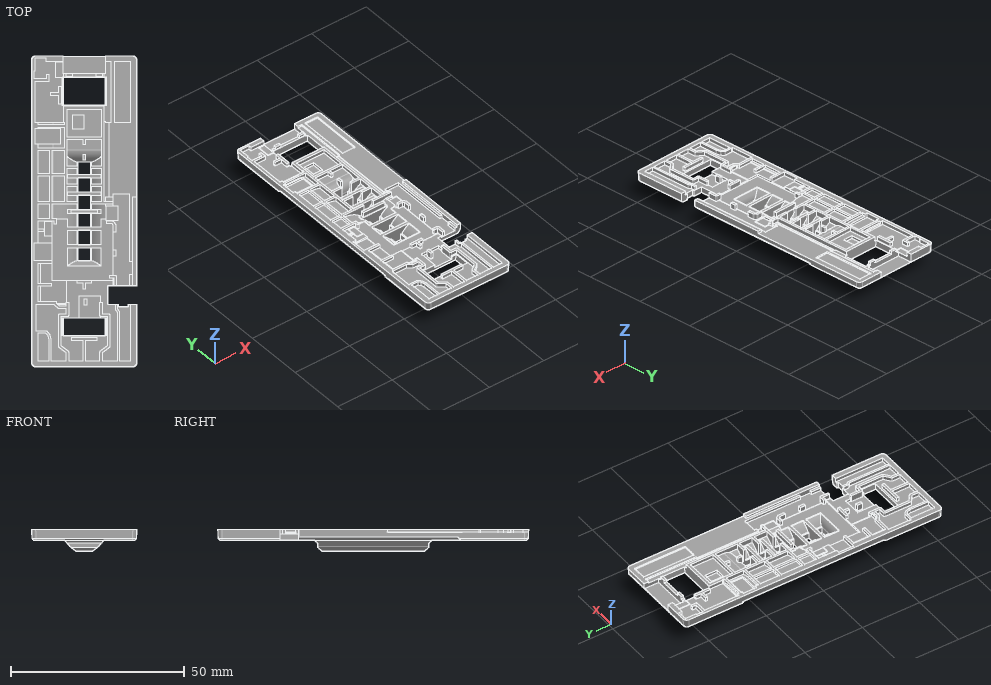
import cadquery as cq
import math

LENGTH = 89.92
WIDTH = 30.48
HEIGHT = 6.35
PLATE = HEIGHT / 2
DRAFT_ANGLE = 2.5
CORNER_RADIUS = 1.2
EDGE_CHAMFER = 0.5
CLEARANCE = 1.0

GRIP_HALF_LENGTH = 25.4
GRIP_RISE = 1.1

RIM = 0.0
PLATEAU = -0.76
BRIDGE = -0.93
LOW_STEP = 0.2
SIDE_FLOOR = -1.0
CARD_RECESS = -1.2
FLOOR = -1.27
CARD_FLOOR = -1.45
PLATFORM = -1.65
RECESS_FLOOR = -1.75
PAD_FLOOR = -2.0
CHANNEL_FLOOR = -2.7
DEEP_FLOOR = -2.2

RIB = 0.76
THIN_RIB = 0.6
RIB_ROOT = -2.45
RIM_X = 13.4
RIM_Y = 43.3
RIM_GRIP = 0.2
RIB_END_X = RIM_X + RIM_GRIP
RIB_END_Y = RIM_Y + RIM_GRIP
BOX_IN = 5.0
BOX_OUT = BOX_IN + RIB

SLOT_HALF = 1.75
SLOT_HALF_LENGTH = 14.25
TROUGH_HALF = 4.8
TROUGH_HALF_LENGTH = 15.8
TROUGH_SIDE_RADIUS = 8.6
TROUGH_END_RADIUS = 3.6
SHOULDER_HALF = 9.1
PLATFORM_Y = -2.2
SHOULDER_HALF_LENGTH = 17.8
HULL_BOTTOM_HALF = 2.4
HULL_MIDDLE_HALF = 4.1
HULL_TOP_HALF = 5.7
HULL_MIDDLE = -5.0
HULL_BOTTOM_HALF_LENGTH = 14.8
HULL_SIDE_HALF_LENGTH = 16.1
HULL_TOP_HALF_LENGTH = 17.0
HULL_END_TOP = -4.0
HULL_END_BOTTOM = -5.2


def block(x0, x1, y0, y1, bottom, top):
    """A box between two corners in plan and two levels."""
    return cq.Workplane("XY").box(x1 - x0, y1 - y0, top - bottom, centered=False).translate((x0, y0, bottom))


def pocket(x0, x1, y0, y1, floor):
    """A cutter that opens upwards from its floor."""
    return block(x0, x1, y0, y1, floor, CLEARANCE)


def rib(x0, x1, y0, y1, top=RIM):
    """A straight rib standing on the plate."""
    return block(x0, x1, y0, y1, RIB_ROOT, top)


def opening(x0, x1, y0, y1, flare_x=0.0, flare_y=0.0):
    """A cutter right through the part; flares widen it towards the rim top."""
    cutter = block(x0, x1, y0, y1, -HEIGHT - CLEARANCE, CLEARANCE)
    if flare_x or flare_y:
        width = x1 - x0
        length = y1 - y0
        tapered = (
            cq.Workplane("XY", origin=((x0 + x1) / 2, (y0 + y1) / 2, -PLATE))
            .rect(width, length)
            .workplane(offset=PLATE)
            .rect(width + 2 * flare_x, length + 2 * flare_y)
            .loft(ruled=True)
        )
        cutter = cutter.union(tapered)
    return cutter


def wall(points, thickness=RIB):
    """A rib of even thickness along a chain of points, rounded at the bends."""
    height = RIM - RIB_ROOT
    chain = None
    for (xa, ya), (xb, yb) in zip(points, points[1:]):
        run = math.hypot(xb - xa, yb - ya)
        angle = math.degrees(math.atan2(yb - ya, xb - xa))
        piece = (
            cq.Workplane("XY")
            .box(run, thickness, height, centered=(False, True, False))
            .rotate((0, 0, 0), (0, 0, 1), angle)
            .translate((xa, ya, RIB_ROOT))
        )
        chain = piece if chain is None else chain.union(piece)
    for x, y in points[1:-1]:
        bend = cq.Workplane("XY").circle(thickness / 2).extrude(height).translate((x, y, RIB_ROOT))
        chain = chain.union(bend)
    return chain


def mirrored(points):
    """The same chain of points with the first coordinate's sign turned round."""
    return [(-x, y) for x, y in points]


def cut_all(body, cutters):
    for cutter in cutters:
        body = body.cut(cutter)
    return body


def add_all(body, pieces):
    for piece in pieces:
        body = body.union(piece)
    return body


def make_plate():
    """The drafted plate with rounded corners, a chamfered bottom edge and the two grip reliefs."""
    plate = (
        cq.Workplane("XY")
        .rect(WIDTH, LENGTH)
        .extrude(-PLATE, taper=DRAFT_ANGLE)
        .edges("not(#Z or |X or |Y)")
        .fillet(CORNER_RADIUS)
        .faces("<Z")
        .chamfer(EDGE_CHAMFER)
    )
    edge = WIDTH / 2
    relief = (
        cq.Workplane("XZ")
        .polyline([(edge, -PLATE + GRIP_RISE), (edge, -PLATE), (edge - GRIP_RISE, -PLATE)])
        .close()
        .extrude(GRIP_HALF_LENGTH, both=True)
    )
    grip_outline = [(GRIP_HALF_LENGTH, -PLATE), (GRIP_HALF_LENGTH - GRIP_RISE, -PLATE + GRIP_RISE)]
    sloped_ends = (
        cq.Workplane("YZ")
        .polyline(grip_outline + mirrored(grip_outline)[::-1])
        .close()
        .extrude(WIDTH, both=True)
    )
    relief = relief.intersect(sloped_ends)
    return plate.cut(relief).cut(relief.mirror("YZ"))


def make_hull():
    """The belly under the trough: a side-to-side profile crossed with an end-to-end profile."""
    across = (
        cq.Workplane("XZ")
        .moveTo(-HULL_TOP_HALF, PLATFORM)
        .lineTo(-HULL_TOP_HALF, -PLATE)
        .lineTo(-HULL_MIDDLE_HALF, HULL_MIDDLE)
        .lineTo(-HULL_BOTTOM_HALF, -HEIGHT)
        .lineTo(HULL_BOTTOM_HALF, -HEIGHT)
        .lineTo(HULL_MIDDLE_HALF, HULL_MIDDLE)
        .lineTo(HULL_TOP_HALF, -PLATE)
        .lineTo(HULL_TOP_HALF, PLATFORM)
        .close()
        .extrude(HULL_TOP_HALF_LENGTH, both=True)
    )
    half = [
        (HULL_TOP_HALF_LENGTH, PLATFORM),
        (HULL_TOP_HALF_LENGTH, -PLATE),
        (HULL_SIDE_HALF_LENGTH, HULL_END_TOP),
        (HULL_SIDE_HALF_LENGTH, HULL_END_BOTTOM),
        (HULL_BOTTOM_HALF_LENGTH, -HEIGHT),
    ]
    outline = half + mirrored(half)[::-1]
    along = cq.Workplane("YZ").polyline(outline).close().extrude(HULL_TOP_HALF, both=True)
    return across.intersect(along)


def trough_profile(plane, shoulder, level, radius, bottom):
    """A U-shaped sketch whose sides start level at the shoulder and roll down to the bottom half-width."""

    def depth_at(distance):
        return level - radius + math.sqrt(radius**2 - (shoulder - distance) ** 2)

    middle = (shoulder + bottom) / 2
    return (
        cq.Workplane(plane)
        .moveTo(-shoulder, CLEARANCE)
        .lineTo(-shoulder, level)
        .threePointArc((-middle, depth_at(middle)), (-bottom, depth_at(bottom)))
        .lineTo(bottom, depth_at(bottom))
        .threePointArc((middle, depth_at(middle)), (shoulder, level))
        .lineTo(shoulder, CLEARANCE)
        .close()
    )


def trough_sides():
    """The trough's side-to-side shape, carried along the whole part."""
    profile = trough_profile("XZ", SHOULDER_HALF, PLATEAU, TROUGH_SIDE_RADIUS, SLOT_HALF)
    return profile.extrude(LENGTH / 2, both=True)


def make_slot():
    return opening(-SLOT_HALF, SLOT_HALF, -SLOT_HALF_LENGTH, SLOT_HALF_LENGTH)


def make_trough():
    """The cutter for the trough; it is a little narrower where it opens into the platform."""
    ends = trough_profile("YZ", SHOULDER_HALF_LENGTH, FLOOR, TROUGH_END_RADIUS, SLOT_HALF_LENGTH)
    reach = block(-BOX_IN, BOX_IN, PLATFORM_Y, SHOULDER_HALF_LENGTH, -HEIGHT, CLEARANCE).union(
        block(-TROUGH_HALF, TROUGH_HALF, -TROUGH_HALF_LENGTH, PLATFORM_Y, -HEIGHT, CLEARANCE)
    )
    return trough_sides().intersect(ends.extrude(WIDTH / 2, both=True)).intersect(reach)


def make_shoulder(x0, x1, y0, y1):
    """The part of the trough's sides inside a plan rectangle."""
    return trough_sides().intersect(block(x0, x1, y0, y1, -PLATE, CLEARANCE))



DECK_Y = 25.65
HOLE_FLARE = 0.6
HOLE_HALF = 6.0
DOCK_HALF = 6.2

deck = [
    pocket(-14.2, -HOLE_HALF, DECK_Y, RIM_Y, FLOOR),
    pocket(-14.2, -11.0, RIM_Y, 44.3, FLOOR),
    pocket(-14.5, -11.0, 38.4, 40.5, FLOOR),
    pocket(-8.3, -HOLE_HALF, 38.7, 43.1, CARD_FLOOR),
]
deck_ribs = [
    rib(-14.6, -10.15, 37.6, 38.4),
    rib(-10.9, -10.15, 37.6, 39.6),
    rib(-7.45, -6.6, 31.0, 36.1),
    rib(-9.8, -7.4, 33.55, 34.3),
]

dock = [
    pocket(-DOCK_HALF, DOCK_HALF, 39.8, LENGTH, CHANNEL_FLOOR),
    pocket(-DOCK_HALF, DOCK_HALF, 38.0, 39.8, BRIDGE),
]
dock_stops = [
    block(-5.3, -3.4, 39.0, 39.8, CHANNEL_FLOOR, RIM),
    block(3.4, 5.3, 39.0, 39.8, CHANNEL_FLOOR, RIM),
]
upper_opening = opening(-HOLE_HALF, HOLE_HALF, 30.8, 38.65, HOLE_FLARE, HOLE_FLARE / 2)

plateau = [
    pocket(BOX_OUT, WIDTH, 4.1, LENGTH, PLATEAU),
    pocket(8.8, RIM_X, 25.65, RIM_Y, CARD_RECESS),
    pocket(BOX_OUT, 7.7, DECK_Y, RIM_Y, FLOOR),
    pocket(BOX_OUT, 8.3, 2.85, 4.2, FLOOR),
    pocket(6.2, 8.3, 1.5, 2.1, FLOOR),
    make_shoulder(BOX_OUT, 7.2, 2.85, 26.0),
]

recess = [
    pocket(8.25, 13.1, -22.0, 5.0, RECESS_FLOOR),
    pocket(13.0, 13.9, -22.0, 4.2, PLATEAU),
    pocket(13.0, 13.9, -18.2, -14.5, RECESS_FLOOR),
    pocket(6.3, 9.7, -2.6, 1.5, PAD_FLOOR),
]
recess_posts = [
    rib(8.3, 9.15, -12.9, -11.1),
    wall([(6.5, -3.2), (8.2, -3.2), (8.75, -3.9), (8.75, -5.9)]),
    wall([(7.3, -18.9), (8.95, -18.9), (8.95, -21.5)]),
]

cells = [
    pocket(-BOX_IN, BOX_IN, 2.85, 29.5, FLOOR),
    pocket(-3.4, -0.1, 23.75, 27.85, DEEP_FLOOR),
    pocket(-RIM_X, -BOX_OUT, -2.0, DECK_Y, PLATEAU),
    make_shoulder(-SHOULDER_HALF, -BOX_OUT, 2.85, DECK_Y),
    pocket(-14.2, -6.9, 19.4, 24.0, CARD_FLOOR),
    make_shoulder(-SHOULDER_HALF, 6.3, PLATFORM_Y, 2.1),
]
grid_ribs = [rib(-RIB_END_X, -BOX_OUT, y, y + RIB) for y in (24.3, 17.55, 10.2)]
grid_ribs += [
    rib(-10.1, -9.35, -2.4, 17.9),
    rib(-BOX_IN, BOX_IN, 20.8, 20.8 + RIB),
    rib(-RIB / 2, RIB / 2, 19.3, 21.0),
    rib(-RIB_END_X, 7.8, 2.1, 2.1 + RIB),
]

side_cells = [
    pocket(-RIM_X, -9.3, -9.1, -2.8, PLATEAU),
    pocket(-11.5, -9.3, -7.15, -3.0, PLATEAU - LOW_STEP),
    pocket(-14.5, -9.3, -14.2, -9.1, FLOOR),
    pocket(-12.6, -5.2, -26.1, -15.0, SIDE_FLOOR),
    pocket(-RIM_X, -12.6, -26.1, -15.0, PLATEAU),
    pocket(-8.0, -5.2, -26.7, -26.1, SIDE_FLOOR),
]
side_ribs = [
    rib(-RIM_X, -11.6, -5.75, -5.05, PLATEAU + LOW_STEP),
    rib(-RIB_END_X, -8.0, -2.8, -2.05),
    rib(-8.75, -8.0, -3.65, -2.05),
    rib(-RIB_END_X, -9.5, -21.55, -20.8),
    rib(-RIB_END_X, -9.3, -15.0, -14.25),
]

platform = [
    pocket(-9.3, 8.25, -19.95, PLATFORM_Y, PLATFORM),
    pocket(-5.2, 5.3, -31.0, -19.95, FLOOR),
    pocket(5.3, 9.3, -30.0, -19.95, FLOOR),
    pocket(-1.5, 4.75, -31.0, -24.5, DEEP_FLOOR),
]
platform_ribs = [
    rib(-2.1, 2.1, -20.75, -19.95),
    rib(-RIB / 2, RIB / 2, -22.4, -20.0),
    rib(-0.1, 0.75, -27.1, -25.3),
]

lower_bay = [
    pocket(-RIM_X, RIM_X, -RIM_Y, -29.7, FLOOR),
    pocket(-14.0, -5.2, -34.6, -26.85, FLOOR),
    pocket(9.3, RIM_X, -29.7, -26.0, FLOOR),
]
NECK_X = 4.85
CHEEK_X = 7.05
cheek = [
    (NECK_X, -26.3),
    (NECK_X, -30.05),
    (CHEEK_X, -30.05),
    (CHEEK_X, -39.0),
    (NECK_X, -40.7),
    (NECK_X, -RIB_END_Y),
]
corner_wall = [
    (-RIB_END_X, -34.85),
    (-11.0, -34.85),
    (-10.25, -35.7),
    (-9.9, -37.0),
    (-9.9, -RIB_END_Y),
]
lower_ribs = [
    wall(cheek),
    wall(mirrored(cheek)),
    wall([(-RIB_END_X, -26.5), (-8.7, -26.5), (-7.3, -27.7), (-NECK_X, -27.7)]),
    wall(corner_wall, THIN_RIB),
    wall([(9.3, -26.9), (9.3, -28.3), (9.9, -29.1), (9.9, -RIB_END_Y)], THIN_RIB),
    rib(-3.75, 3.75, -37.3, -36.5),
    rib(-RIB / 2, RIB / 2, -RIB_END_Y, -37.0),
]
lower_opening = opening(-HOLE_HALF, HOLE_HALF, -35.9, -30.85, HOLE_FLARE)
side_notch = opening(6.85, WIDTH, -26.9, -21.55).union(opening(9.9, 12.7, -27.5, -26.0))

TROUGH_RIB = 1.0
STUB_LENGTH = BOX_IN - SLOT_HALF
slot_stubs = [
    block(x0, x0 + STUB_LENGTH, y, y + RIB, -HEIGHT, RIM)
    for x0 in (-SLOT_HALF - STUB_LENGTH, SLOT_HALF)
    for y in (12.4, 7.2, 2.1)
]
slot_ribs = [
    block(-TROUGH_HALF, TROUGH_HALF, y - TROUGH_RIB / 2, y + TROUGH_RIB / 2, -HEIGHT, PLATFORM)
    for y in (10.2, 5.1, -5.0, -10.15)
]
slot_ribs += [
    block(-3.9, 3.9, -0.45, 0.45, -HEIGHT, RIM),
    block(-TROUGH_HALF, TROUGH_HALF, -0.6, 0.6, -HEIGHT, PLATFORM),
    block(-RIB / 2, RIB / 2, 14.9, 16.5, -HEIGHT, RIM),
]

envelope = make_plate().union(make_hull())
body = cut_all(envelope, deck + dock + plateau + recess + cells + side_cells + platform + lower_bay)
body = body.cut(make_trough())
all_ribs = deck_ribs + dock_stops + recess_posts + grid_ribs + side_ribs + platform_ribs + lower_ribs
for side in (-1, 1):
    x = side * (BOX_IN + RIB / 2)
    all_ribs.append(rib(x - RIB / 2, x + RIB / 2, 2.1, 30.25))
all_ribs.append(rib(-BOX_OUT, BOX_OUT, 29.5, 30.25))
body = add_all(body, all_ribs)
body = body.cut(make_slot())
for cross_rib in slot_stubs + slot_ribs:
    body = body.union(cross_rib.intersect(envelope))
result = cut_all(body, [upper_opening, lower_opening, side_notch])